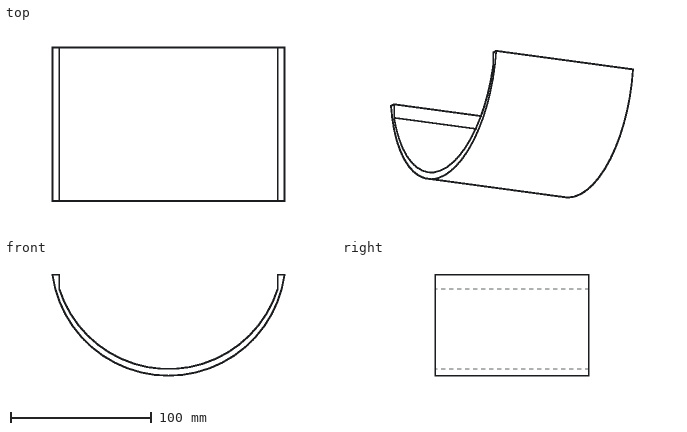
import cadquery as cq

width = 165.0
length = 109.0
height = 71.8
rim_width = 5.0
bottom_thickness = 4.9
rim_depth = 10.0

outer_half = width / 2
inner_half = outer_half - rim_width
top_z = height / 2
bottom_z = -height / 2
inner_bottom_z = bottom_z + bottom_thickness
inner_corner_z = top_z - rim_depth


def cross_section():
    """Trough outline in XZ: an outer arc, and an inner arc ending in upright faces."""
    return (
        cq.Workplane("XZ")
        .moveTo(-outer_half, top_z)
        .threePointArc((0, bottom_z), (outer_half, top_z))
        .lineTo(inner_half, top_z)
        .lineTo(inner_half, inner_corner_z)
        .threePointArc((0, inner_bottom_z), (-inner_half, inner_corner_z))
        .lineTo(-inner_half, top_z)
        .close()
    )


result = cross_section().extrude(length / 2, both=True)